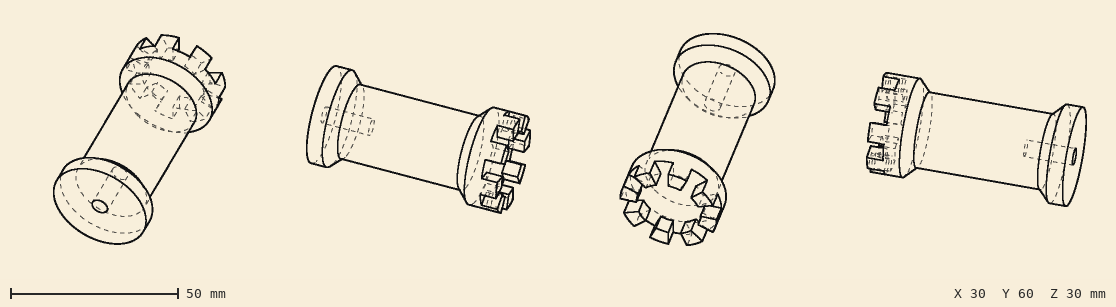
import cadquery as cq
import math

length = 60.0
flange_radius = 30.0 / 2
shaft_radius = 22.9 / 2
base_rim_length = 5.0
crown_rim_length = 10.0
cone_length = flange_radius - shaft_radius

bore_radius = 20.0 / 2
tooth_height = 5.0
tooth_count = 8
tooth_pitch = 360.0 / tooth_count
gap_angle = tooth_pitch / 2

hole_radius = 5.0 / 2
hole_depth = 15.0


def cylinder_along_y(radius, start, height):
    """Solid cylinder on the Y axis, growing toward +Y from start."""
    return cq.Workplane(cq.Solid.makeCylinder(radius, height, cq.Vector(0, start, 0), cq.Vector(0, 1, 0)))


def turned_body():
    """Spool with a short base rim, a shaft and a longer crown rim."""
    crown_rim_start = length - crown_rim_length
    return (
        cq.Workplane("XY")
        .lineTo(flange_radius, 0)
        .lineTo(flange_radius, base_rim_length)
        .lineTo(shaft_radius, base_rim_length + cone_length)
        .lineTo(shaft_radius, crown_rim_start - cone_length)
        .lineTo(flange_radius, crown_rim_start)
        .lineTo(flange_radius, length)
        .lineTo(0, length)
        .close()
        .revolve(360, (0, 0, 0), (0, 1, 0))
    )


def gap_wedge():
    """Radial wedge from +Z toward +X that separates two crown teeth."""
    reach = 2 * flange_radius
    angle = math.radians(gap_angle)
    far_corner = (reach * math.sin(angle), reach * math.cos(angle))
    return (
        cq.Workplane("XZ")
        .workplane(offset=tooth_height - length)
        .lineTo(0, reach)
        .lineTo(*far_corner)
        .close()
        .extrude(-tooth_height)
    )


result = turned_body()

result = result.cut(cylinder_along_y(bore_radius, length - tooth_height, tooth_height))
for index in range(tooth_count):
    wedge = gap_wedge().rotate((0, 0, 0), (0, 1, 0), index * tooth_pitch)
    result = result.cut(wedge)

result = result.cut(cylinder_along_y(hole_radius, 0, hole_depth))